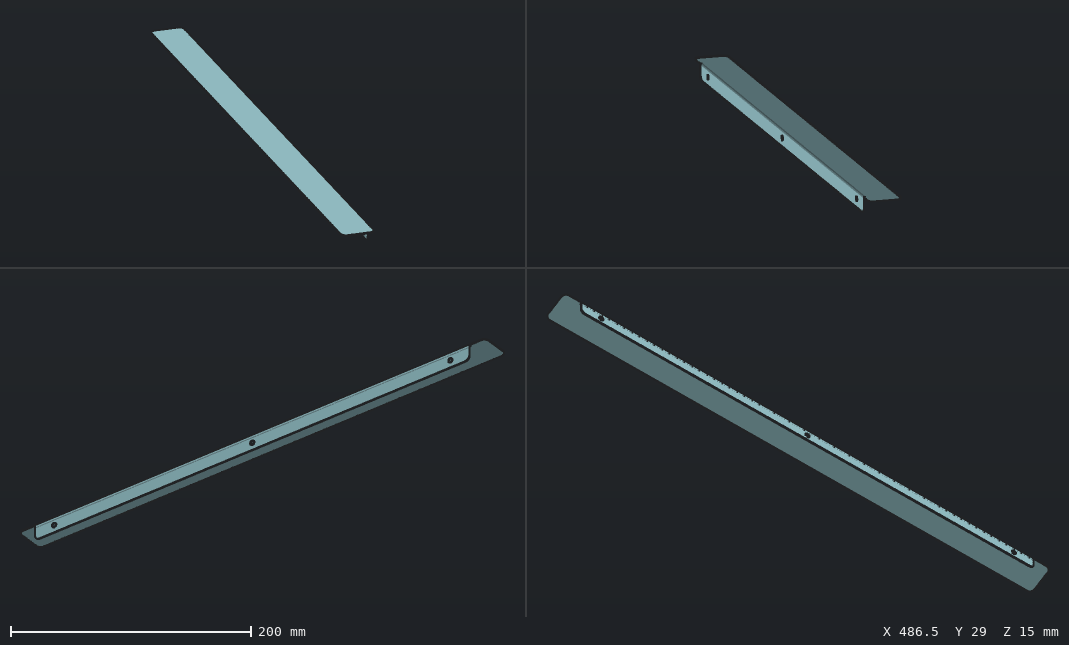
import cadquery as cq

length = 486.5
width = 29.0
height = 15.0
plate_thickness = 1.0
plate_corner_radius = 5.0

flange_length = 452.5
flange_thickness = 1.0
flange_corner_radius = 5.0
inner_bend_radius = 1.0

hole_diameter = 4.2
hole_spacing = 206.5
hole_depth_below_top = 8.0

rear = width / 2
top = height / 2


def make_plate():
    """Flat plate with rounded corners."""
    return (
        cq.Workplane("XY", origin=(0, 0, top - plate_thickness))
        .rect(length, width)
        .extrude(plate_thickness)
        .edges("|Z")
        .fillet(plate_corner_radius)
    )


def make_flange():
    """Upright strip, flush with the rear edge, with rounded bottom corners."""
    return (
        cq.Workplane("XZ", origin=(0, rear, 0))
        .rect(flange_length, height)
        .extrude(flange_thickness)
        .faces("<Z")
        .edges("|Y")
        .fillet(flange_corner_radius)
    )


def make_hole_cutters():
    """Three evenly spaced cylinders that cut the mounting holes."""
    return (
        cq.Workplane("XZ", origin=(0, rear, top - hole_depth_below_top))
        .pushPoints([(-hole_spacing, 0), (0, 0), (hole_spacing, 0)])
        .circle(hole_diameter / 2)
        .extrude(flange_thickness)
    )


bracket = make_plate().union(make_flange())

inside_corner = (0, rear - flange_thickness, top - plate_thickness)
bracket = bracket.edges(cq.selectors.NearestToPointSelector(inside_corner)).fillet(inner_bend_radius)

result = bracket.cut(make_hole_cutters())